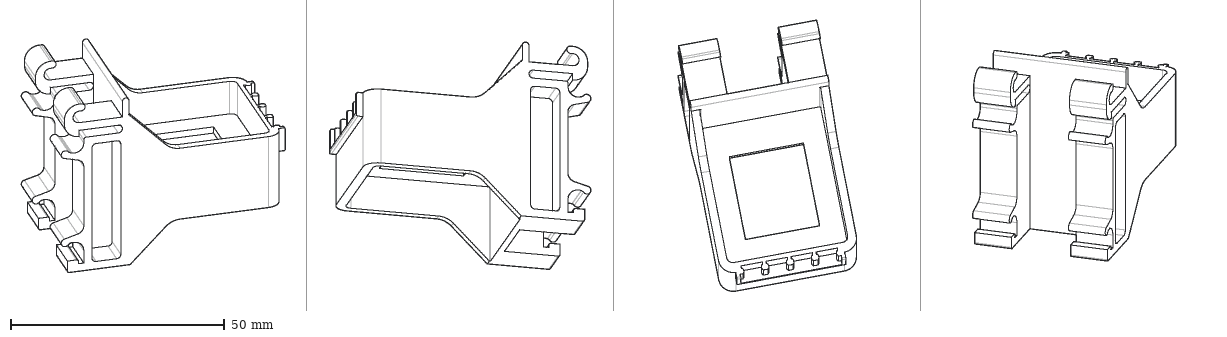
import cadquery as cq
import math

width = 32.9
height = 43.7
wall = 2.0
half_width = width / 2

box_bottom = 10.2
box_top = 28.75
box_rear = 39.3
box_corner_radius = 3.5
box_mid = (box_bottom + box_top) / 2
front_wall = 1.6
wing_root = 12.1
wing_blend_radius = 5.0
wing_top = box_top + wing_root - front_wall
wing_foot = wing_root - box_bottom

cavity_rear = 36.9
cavity_front_radius = 0.3
floor_depth = 8.5
floor_thickness = 1.6
floor_top = box_top - floor_depth
window_width = 17.7
window_front = 9.5
window_rear = 29.85

ledge_width = 26.05
ledge_rear = 40.9
ledge_height = 6.0
ledge_floor = 1.0
ledge_edge_radius = 0.4
recess_width = 24.15
recess_front = 38.0
tooth_pitch = 6.0
tooth_count = 5
tooth_tip = 39.95
head_radius = 0.9
head_center = 39.25
neck_width = 0.9

arm_width = 9.1
web_front = -9.45
web_top = 34.8
web_corner_radius = 0.6
pocket_corner_radius = 1.0
lip_front = -13.45
lip_top = 3.1
lip_rear = -10.75
lip_edge_radius = 0.5
beam_bottom = web_top + wall
beam_top = beam_bottom + wall

hook_center = -10.55
hook_radius = 3.65
hook_throat_radius = 1.5
hook_tip_center = -10.05
hook_upper = height - hook_radius
throat_top = beam_top + 2 * hook_throat_radius
hook_tip_radius = (height - throat_top) / 2

bead_center = -14.0
bead_offset = 11.5
bead_radius = 1.0
bead_crease_radius = 1.0
jaw_thickness = 1.6
jaw_slope = math.radians(15)
jaw_inner_root_radius = 2.0
upper_jaw_outer_root_radius = 2.3
lower_jaw_outer_root_radius = 2.5


def block(x_range, y_range, z_range):
    """Box spanning the given ranges."""
    (x0, x1), (y0, y1), (z0, z1) = x_range, y_range, z_range
    return cq.Workplane("XY").box(x1 - x0, y1 - y0, z1 - z0, centered=False).translate((x0, y0, z0))


def side_plane(x):
    """Sketch plane with local axes along Y and Z, extruding toward +X."""
    return cq.Workplane("YZ", origin=(x, 0, 0))


def near(y, z, reach=0.05):
    """Selector for edges along X that pass close to (y, z)."""
    return cq.selectors.BoxSelector((-width, y - reach, z - reach), (width, y + reach, z + reach))


def make_shell():
    """Front wall with its rounded top, sloping wings and the box, all solid."""
    tip_radius = front_wall / 2
    shell = (
        side_plane(-half_width)
        .moveTo(0, 0)
        .lineTo(wing_foot, 0)
        .lineTo(wing_root, box_bottom)
        .lineTo(box_rear, box_bottom)
        .lineTo(box_rear, box_top)
        .lineTo(wing_root, box_top)
        .lineTo(front_wall, wing_top)
        .lineTo(front_wall, height - tip_radius)
        .threePointArc((tip_radius, height), (0, height - tip_radius))
        .close()
        .extrude(width)
    )
    for z in (box_bottom, box_top):
        shell = shell.edges(near(wing_root, z)).fillet(wing_blend_radius)
    return shell.edges("|Z and >Y").fillet(box_corner_radius)


def make_cavity(bottom, top):
    """Rounded space between the side walls, from one height to another."""
    half = half_width - wall
    cavity = block((-half, half), (front_wall, cavity_rear), (bottom, top))
    cavity = cavity.edges("|Z and >Y").fillet(box_corner_radius - wall)
    return cavity.edges("|Z and <Y").fillet(cavity_front_radius)


def make_window():
    """Rectangular opening through the box floor."""
    half = window_width / 2
    return block((-half, half), (window_front, window_rear), (0, height))


def make_ledge():
    """Block standing out from the rear wall."""
    half = ledge_width / 2
    ledge = block((-half, half), (recess_front, ledge_rear), (box_top - ledge_height, box_top))
    return ledge.edges("|X and >Y").fillet(ledge_edge_radius)


def make_tooth(x, bottom):
    """Tooth with a narrow neck and a round head that is cut flat at the tip."""
    tooth_height = box_top - bottom
    head = cq.Workplane("XY", origin=(x, head_center, bottom)).circle(head_radius).extrude(tooth_height)
    tip_cut = block(
        (x - head_radius, x + head_radius), (tooth_tip, tooth_tip + head_radius), (bottom, box_top)
    )
    neck = block(
        (x - neck_width / 2, x + neck_width / 2), (recess_front, head_center), (bottom, box_top)
    )
    return head.cut(tip_cut).union(neck)


def make_recess():
    """Space around the teeth, open to the rear and the top."""
    half = recess_width / 2
    bottom = box_top - ledge_height + ledge_floor
    recess = block((-half, half), (recess_front, ledge_rear), (bottom, box_top))
    for i in range(tooth_count):
        x = (i - (tooth_count - 1) / 2) * tooth_pitch
        recess = recess.cut(make_tooth(x, bottom))
    return recess


def make_lip(x):
    """Bottom lip with a raised ridge along its front."""
    lip = block((x, x + arm_width), (lip_front, web_front), (0, wall))
    ridge = block((x, x + arm_width), (lip_front, lip_rear), (0, lip_top))
    ridge = ridge.edges("|X and >Y and >Z").fillet(lip_edge_radius)
    return lip.union(ridge).edges("|X and <Y and <Z").fillet(lip_edge_radius)


def add_jaw(web, x, side, outer_root_radius):
    """Add the upper (side = 1) or lower (side = -1) jaw to the front of the web."""
    bead_z = box_mid + side * bead_offset
    sine, cosine = math.sin(jaw_slope), math.cos(jaw_slope)
    outer_face = jaw_thickness - bead_radius
    inner_face = -bead_radius

    def jaw_point(along, outward):
        """(Y, Z) at a distance along the bar from the bead and outward from the other jaw."""
        return (
            bead_center + along * cosine + outward * sine,
            bead_z + side * (outward * cosine - along * sine),
        )

    length = (web_front / 2 - bead_center) / cosine
    corners = [
        jaw_point(0, outer_face),
        jaw_point(0, inner_face),
        jaw_point(length, inner_face),
        jaw_point(length, outer_face),
    ]
    web = web.union(side_plane(x).polyline(corners).close().extrude(arm_width))

    for face, radius in ((outer_face, outer_root_radius), (inner_face, jaw_inner_root_radius)):
        root = (web_front - bead_center - face * sine) / cosine
        web = web.edges(near(*jaw_point(root, face))).fillet(radius)

    bead = side_plane(x).center(bead_center, bead_z).circle(bead_radius).extrude(arm_width)
    crease = math.sqrt(bead_radius**2 - outer_face**2)
    return web.union(bead).edges(near(*jaw_point(crease, outer_face))).fillet(bead_crease_radius)


def make_web(x):
    """Upright web with its bottom lip and both jaws."""
    web = block((x, x + arm_width), (web_front, 0), (0, web_top))
    web = web.edges("|X and <Y and >Z").fillet(web_corner_radius)
    web = web.union(make_lip(x))
    web = add_jaw(web, x, 1, upper_jaw_outer_root_radius)
    return add_jaw(web, x, -1, lower_jaw_outer_root_radius)


def make_hook(x):
    """Flexible beam above the slot, ending in a hook that opens to the rear."""
    diagonal = hook_radius * math.sqrt(0.5)
    slot_radius = wall / 2
    embed = front_wall / 2
    return (
        side_plane(x)
        .moveTo(embed, beam_top)
        .lineTo(hook_center, beam_top)
        .threePointArc(
            (hook_center - hook_throat_radius, beam_top + hook_throat_radius), (hook_center, throat_top)
        )
        .lineTo(hook_tip_center, throat_top)
        .threePointArc(
            (hook_tip_center + hook_tip_radius, throat_top + hook_tip_radius), (hook_tip_center, height)
        )
        .lineTo(hook_center, height)
        .threePointArc(
            (hook_center - diagonal, hook_upper + diagonal), (hook_center - hook_radius, hook_upper)
        )
        .lineTo(hook_center - hook_radius, beam_top)
        .threePointArc(
            (hook_center - diagonal, beam_top - diagonal), (hook_center, beam_top - hook_radius)
        )
        .lineTo(hook_center, beam_bottom)
        .lineTo(-slot_radius, beam_bottom)
        .threePointArc((0, beam_bottom - slot_radius), (-slot_radius, web_top))
        .lineTo(-slot_radius, web_top - wall)
        .lineTo(embed, web_top - wall)
        .close()
        .extrude(arm_width)
    )


def make_pocket(x):
    """Rounded pocket in the outer side of an arm, leaving a wall on the inner side."""
    rear = front_wall - wall
    front = web_front + wall
    pocket = block((x, x + arm_width - wall), (front, rear), (wall, web_top - wall))
    return pocket.edges("|X").fillet(pocket_corner_radius)


result = make_shell().union(make_ledge())
result = result.cut(make_cavity(floor_top, height))
result = result.cut(make_cavity(0, floor_top - floor_thickness))
result = result.cut(make_window()).cut(make_recess())

arm = make_web(-half_width).union(make_hook(-half_width)).cut(make_pocket(-half_width))
result = result.union(arm).union(arm.mirror("YZ"))